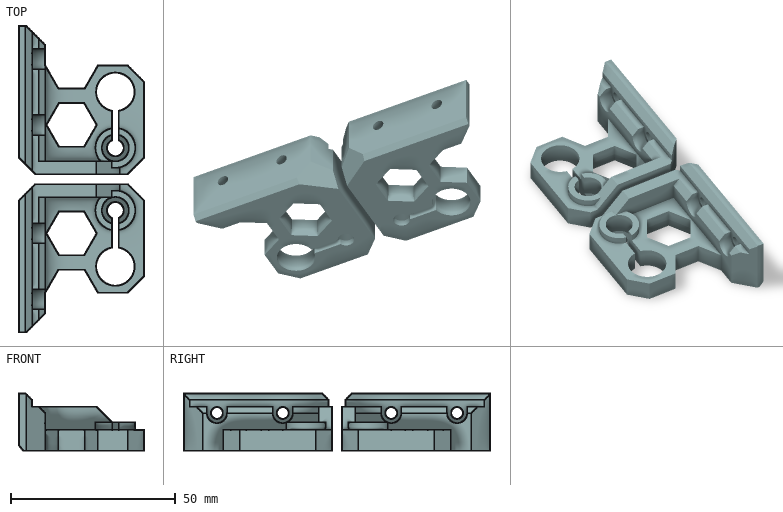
import cadquery as cq

width = 38.0
length = 45.0
height = 17.5
total_length = 93.0
gap = total_length - 2 * length

step = 4.0
bevel = step / 2
wall_x = 2 * step
rib_y = step
ledge_z = 13.5
base_z = 6.4
corner = 5.0
end_x = 2.2

foot_x = 1.4
foot_z = 1.7
facet_y_sum = 11.4
facet_edge_z = 4.7
facet_slope = (facet_y_sum - facet_edge_z) / corner

base_y = 33.0
hex_sides = 6
hex_x = 2 * wall_x
notch_r = wall_x
hex_y = 15.0
hex_r = 7.6
hex_foot_r = wall_x
flare_z = 3.0

screw_y = 15.0
screw_pitch = 20.0
screw_z = 11.5
screw_d = 3.5
head_d = 6.1

rib_flat_x = 23.5
clamp_x = 29.3
slot_w = 1.95
rod_y = 25.0
rod_d = 11.6
boss_y = 8.0
boss_d = 12.1
boss_z = 8.7
bore_d = 8.2
bore_floor_z = 2.0
pin_d = 5.0

cutter_size = 2 * length


def hexagon(x, y, radius, z=0):
    plane = cq.Workplane("XY").workplane(offset=z).center(x, y)
    return plane.polygon(hex_sides, 2 * radius)


def vertical_cylinder(y, diameter, z0, z1):
    plane = cq.Workplane("XY").workplane(offset=z0).center(clamp_x, y)
    return plane.circle(diameter / 2).extrude(z1 - z0)


def wall():
    section = [
        (foot_x, 0),
        (wall_x, 0),
        (wall_x, ledge_z - bevel),
        (wall_x - bevel, ledge_z),
        (step, ledge_z),
        (step, height - bevel),
        (step - bevel, height),
        (0, height),
        (0, foot_z),
    ]
    body = cq.Workplane("XZ").polyline(section).close().extrude(-length)
    end_cut = wall_x - end_x
    wedge = [(end_x, length), (wall_x, length - end_cut), (wall_x, length)]
    return body.cut(cq.Workplane("XY").polyline(wedge).close().extrude(height))


def base():
    outline = [
        (wall_x, 0),
        (width - corner, 0),
        (width, corner),
        (width, base_y - corner),
        (width - corner, base_y),
        (wall_x, base_y),
    ]
    plate = cq.Workplane("XY").polyline(outline).close().extrude(base_z)
    return plate.cut(hexagon(hex_x, base_y, notch_r).extrude(base_z))


def rib():
    slope_end_x = rib_flat_x + ledge_z - base_z
    section = [
        (step, 0),
        (slope_end_x, 0),
        (slope_end_x, base_z),
        (rib_flat_x, ledge_z),
        (step, ledge_z),
    ]
    return cq.Workplane("XZ").polyline(section).close().extrude(-rib_y)


def corner_chamfer():
    triangle = [(0, 0), (corner, 0), (0, corner)]
    return cq.Workplane("XY").polyline(triangle).close().extrude(height)


def corner_facet():
    """Everything below the sloping plane facet_slope * x + y + z = facet_y_sum."""
    outward = (-facet_slope, -1, -1)
    plane = cq.Plane(origin=(0, facet_y_sum, 0), xDir=(0, 1, -1), normal=outward)
    return cq.Workplane(plane).rect(cutter_size, cutter_size).extrude(cutter_size)


def hex_hole():
    flare = hexagon(hex_x, hex_y, hex_foot_r).workplane(offset=flare_z).polygon(hex_sides, 2 * hex_r).loft()
    return flare.union(hexagon(hex_x, hex_y, hex_r, flare_z).extrude(base_z))


def screw_hole(y):
    side = cq.Workplane("YZ").center(y, screw_z)
    hole = side.circle(screw_d / 2).extrude(wall_x)
    pocket_side = side.workplane(offset=step)
    pocket = pocket_side.circle(head_d / 2).extrude(step)
    opening = pocket_side.rect(head_d, height, centered=(True, False)).extrude(step)
    return hole.union(pocket).union(opening)


def clamp_cuts():
    rod = vertical_cylinder(rod_y, rod_d, 0, base_z)
    pin = vertical_cylinder(boss_y, pin_d, 0, boss_z)
    bore = vertical_cylinder(boss_y, bore_d, bore_floor_z, boss_z)
    slot = cq.Workplane("XY").box(slot_w, rod_y - boss_y, boss_z, centered=(True, False, False))
    return rod.union(pin).union(bore).union(slot.translate((clamp_x, boss_y, 0)))


def bracket():
    body = wall().union(base()).union(rib())
    body = body.union(vertical_cylinder(boss_y, boss_d, 0, boss_z))
    body = body.cut(corner_chamfer()).cut(corner_facet())
    body = body.cut(hex_hole()).cut(clamp_cuts())
    for y in (screw_y, screw_y + screw_pitch):
        body = body.cut(screw_hole(y))
    return body.translate((0, gap / 2, 0))


far_bracket = bracket()
near_bracket = far_bracket.mirror("XZ")
result = cq.Compound.makeCompound([far_bracket.val(), near_bracket.val()])